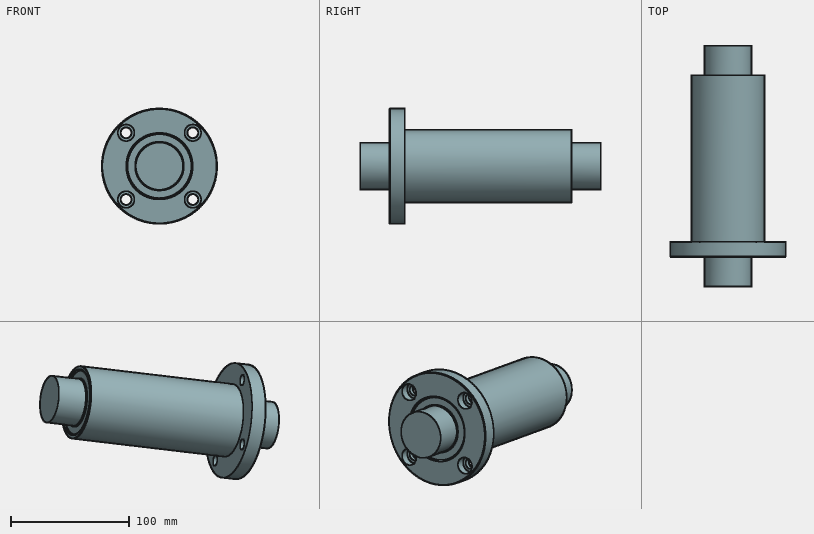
import cadquery as cq

shaft_length = 204.0
shaft_diameter = 40.0
shaft_overhang = 24.9

sleeve_diameter = 62.0
sleeve_chamfer = 0.3

flange_diameter = 98.0
flange_thickness = 13.0
flange_chamfer = 0.6

hole_spacing = 56.5
hole_diameter = 9.0
counterbore_diameter = 14.0
counterbore_depth = 8.2

seat_mouth_diameter = 56.5
seat_diameter = 54.0
seat_depth = 1.0

lip_diameter = 41.5

front_y = shaft_overhang
rear_y = shaft_length - shaft_overhang


def cylinder(diameter, start_y, end_y):
    """Solid cylinder about the Y axis between two stations."""
    return (
        cq.Workplane("XZ", origin=(0, start_y, 0))
        .circle(diameter / 2)
        .extrude(start_y - end_y)
    )


def seal_seat(face_y, inward):
    """Ring groove cut inward from a sleeve end face: tapered outer wall, straight lip inside."""
    floor_y = face_y + inward * seat_depth
    half_profile = [
        (lip_diameter / 2, face_y),
        (seat_mouth_diameter / 2, face_y),
        (seat_diameter / 2, floor_y),
        (lip_diameter / 2, floor_y),
    ]
    return cq.Workplane("XY").polyline(half_profile).close().revolve(360, (0, 0), (0, 1))


def screw_holes():
    """Four counterbored holes, with the counterbores open to the front."""
    hole = cylinder(hole_diameter, front_y, front_y + flange_thickness)
    hole = hole.union(cylinder(counterbore_diameter, front_y, front_y + counterbore_depth))
    holes = cq.Workplane("XY")
    for x in (-hole_spacing / 2, hole_spacing / 2):
        for z in (-hole_spacing / 2, hole_spacing / 2):
            holes = holes.add(hole.translate((x, 0, z)))
    return holes.combine()


sleeve = cylinder(sleeve_diameter, front_y, rear_y).faces(">Y").edges().chamfer(sleeve_chamfer)
flange = cylinder(flange_diameter, front_y, front_y + flange_thickness)
flange = flange.faces("<Y").edges().chamfer(flange_chamfer)

housing = sleeve.union(flange, clean=False).cut(screw_holes(), clean=False)
housing = housing.cut(seal_seat(front_y, 1), clean=False).cut(seal_seat(rear_y, -1), clean=False)

result = housing.union(cylinder(shaft_diameter, 0, shaft_length), clean=False)